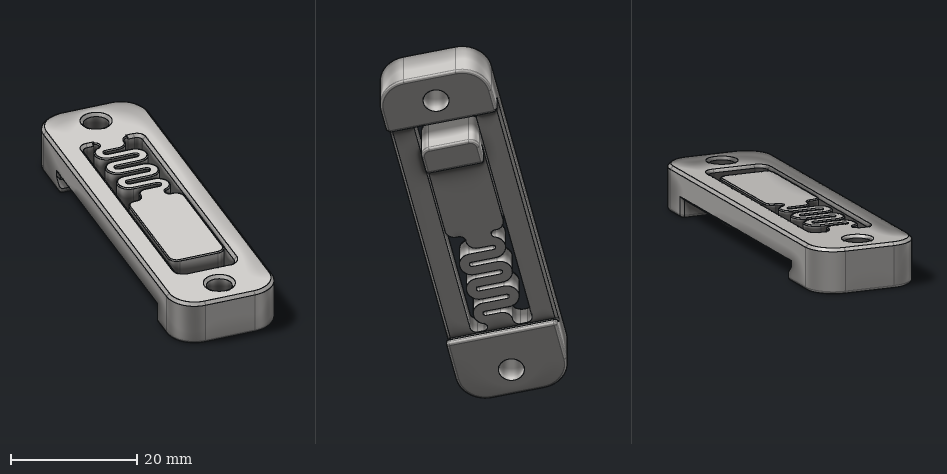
import cadquery as cq
import math


length = 62.0
width = 18.0
height = 7.5
corner_radius = 4.8
edge_break = 0.5
foot_fillet = 0.465
tip_fillet = 0.5
roof_z = 3.0

hole_diameter = 4.1
hole_x = 26.3
countersink_angle = 90

hook_wall_x = -20.2
hook_overhang = 1.05
hook_tip_x = hook_wall_x + hook_overhang
hook_tip_z = 0.9
stop_wall_x = 21.9

window_left = -20.0
window_right = 21.4
window_width = 10.05
window_left_radius = 1.0
window_right_radius = 1.5

gap = 0.8
first_bend_x = -16.85
bend_span = 11.95
bend_count = 6
bend_y = 2.0
root_edge_y = 1.9
root_flare_radius = 1.0
root_shoulder_radius = 1.6
pocket_radius = 0.7
root_overlap = 0.75
spring_chamfer = 0.2
tangent_tolerance = 0.0005

bend_pitch = bend_span / (bend_count - 1)
strip_width = bend_pitch - gap
inner_bend_radius = gap / 2
outer_bend_radius = inner_bend_radius + strip_width
spring_mid_x = first_bend_x + bend_span / 2

latch_left = 2 * spring_mid_x - window_left
latch_right = 17.6
latch_width = 9.4
latch_radius = 1.5
latch_tip_x = 12.9
latch_tip_z = 1.4
latch_rise = roof_z - latch_tip_z

select_margin = 0.05


def polar(center, radius, angle):
    """Point on a circle, angle in degrees."""
    turn = math.radians(angle)
    return (center[0] + radius * math.cos(turn), center[1] + radius * math.sin(turn))


def arc_through(center, radius, start, end):
    """Start, middle and end points of an arc between two angles in degrees."""
    return [polar(center, radius, angle) for angle in (start, (start + end) / 2, end)]


def half_turn(point):
    """Rotate a point by 180 degrees about the middle of the spring."""
    return (2 * spring_mid_x - point[0], -point[1])


def make_plate():
    plate = cq.Workplane("XY").box(length, width, height, centered=(True, True, False))
    plate = plate.edges("|Z").fillet(corner_radius)
    plate = plate.faces(">Z").edges().chamfer(edge_break)

    notch = (
        cq.Workplane("XZ")
        .moveTo(hook_wall_x, roof_z)
        .lineTo(hook_wall_x, hook_tip_z + hook_overhang)
        .lineTo(hook_tip_x, hook_tip_z)
        .lineTo(hook_tip_x, 0)
        .lineTo(stop_wall_x, 0)
        .lineTo(stop_wall_x, roof_z)
        .close()
        .extrude(width, both=True)
    )
    plate = plate.cut(notch)

    hook_tip = cq.selectors.BoxSelector(
        (hook_tip_x - select_margin, -width, 0),
        (hook_tip_x + select_margin, width, hook_tip_z),
    )
    plate = plate.edges("|Z").edges(hook_tip).fillet(tip_fillet)

    notch_sides = cq.selectors.BoxSelector(
        (hook_wall_x - select_margin, -width, 0),
        (stop_wall_x + select_margin, width, roof_z + select_margin),
    )
    above_tip = cq.selectors.BoxSelector(
        (-length, -width, hook_tip_z), (length, width, height)
    )
    side_edges = plate.faces("<Y or >Y").edges(notch_sides).edges("|X or |Z")
    plate = side_edges.edges(above_tip).chamfer(edge_break)
    return plate.faces("<Z").edges().fillet(foot_fillet)


def cut_window(plate):
    window_length = window_right - window_left
    window = (
        cq.Workplane("XY")
        .workplane(offset=roof_z)
        .center((window_left + window_right) / 2, 0)
        .rect(window_length, window_width)
        .extrude(height - roof_z)
    )
    window = window.edges("|Z and <X").fillet(window_left_radius)
    window = window.edges("|Z and >X").fillet(window_right_radius)
    plate = plate.cut(window)
    rim = cq.selectors.BoxSelector(
        (window_left - select_margin, -window_width / 2 - select_margin, height - select_margin),
        (window_right + select_margin, window_width / 2 + select_margin, height + select_margin),
    )
    return plate.edges(rim).chamfer(edge_break)


def drill_screw_holes(plate):
    return (
        plate.faces(">Z")
        .workplane()
        .pushPoints([(-hole_x, 0), (hole_x, 0)])
        .cskHole(hole_diameter, hole_diameter + 2 * edge_break, countersink_angle)
    )


def spring_upper_side():
    """Arcs along the upper side of the spring, from its root to the latch."""
    flare_center = (window_left + root_flare_radius, root_edge_y + root_flare_radius)
    shoulder_center = (
        first_bend_x - inner_bend_radius - root_shoulder_radius,
        root_edge_y - root_shoulder_radius,
    )
    arcs = [
        arc_through(flare_center, root_flare_radius, 180, 270),
        arc_through(shoulder_center, root_shoulder_radius, 90, 0),
    ]

    last_bend = (first_bend_x + bend_span, bend_y)
    pocket_x = latch_left - pocket_radius
    center_distance = outer_bend_radius + pocket_radius
    pocket_angle = math.degrees(math.acos((pocket_x - last_bend[0]) / center_distance))
    pocket_center = polar(last_bend, center_distance, pocket_angle)

    for index in range(bend_count):
        bend_x = first_bend_x + index * bend_pitch
        if index % 2 == 0:
            arcs.append(arc_through((bend_x, -bend_y), inner_bend_radius, 180, 360))
        elif index < bend_count - 1:
            arcs.append(arc_through((bend_x, bend_y), outer_bend_radius, 180, 0))
        else:
            arcs.append(arc_through(last_bend, outer_bend_radius, 180, pocket_angle))
    arcs.append(arc_through(pocket_center, pocket_radius, 180 + pocket_angle, 360))
    return arcs


def make_spring():
    upper = spring_upper_side()
    lower = [[half_turn(point) for point in arc] for arc in upper]
    root_x = window_left - root_overlap
    tip_x = latch_left + root_overlap

    path = cq.Workplane("XY").workplane(offset=roof_z).moveTo(root_x, upper[0][0][1])
    for side, end_x in ((upper, tip_x), (lower, root_x)):
        previous_end = None
        for start, middle, end in side:
            if previous_end is None or math.dist(previous_end, start) > tangent_tolerance:
                path = path.lineTo(*start)
            path = path.threePointArc(middle, end)
            previous_end = end
        path = path.lineTo(end_x, end[1])
        if side is upper:
            path = path.lineTo(end_x, lower[0][0][1])
    return path.close().extrude(height - roof_z)


def make_latch_slab():
    slab = (
        cq.Workplane("XY")
        .workplane(offset=roof_z)
        .center((latch_left + latch_right) / 2, 0)
        .rect(latch_right - latch_left, latch_width)
        .extrude(height - roof_z)
    )
    return slab.edges("|Z").fillet(latch_radius)


def make_latch_foot():
    foot = (
        cq.Workplane("XZ")
        .moveTo(latch_tip_x, 0)
        .lineTo(latch_tip_x, latch_tip_z)
        .lineTo(latch_tip_x + latch_rise, roof_z)
        .lineTo(latch_right, roof_z)
        .lineTo(latch_right, 0)
        .close()
        .extrude(latch_width / 2, both=True)
    )
    foot = foot.edges("|Z and >X").fillet(latch_radius)
    foot = foot.edges("|Z and <X").fillet(tip_fillet)
    return foot.faces("<Z").edges().fillet(foot_fillet)


def make_latch():
    latch = make_spring().union(make_latch_slab()).clean()
    latch = latch.faces(">Z").edges().chamfer(spring_chamfer)
    return latch.union(make_latch_foot())


plate = drill_screw_holes(cut_window(make_plate()))
result = plate.union(make_latch()).clean()